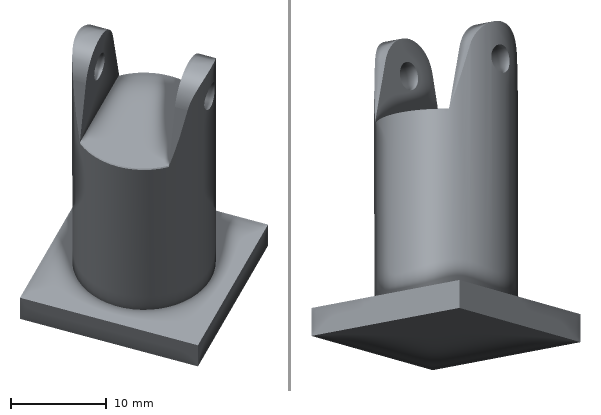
import cadquery as cq
import math

base_side = 20.0
base_thickness = 3.0
post_diameter = 15.0
total_height = 33.0
fork_gap = 10.0
ear_height = 10.0
ear_tip_radius = 4.0
pin_diameter = 3.0
rim_chamfer = 0.1

post_radius = post_diameter / 2
shoulder_z = total_height - ear_height
pin_z = total_height - ear_tip_radius
ear_half_width = math.sqrt(post_radius**2 - (fork_gap / 2) ** 2)


def post_blank():
    """Plain round post, taller than the ear tips so that they are cut from solid stock."""
    return cq.Workplane("XY").circle(post_radius).extrude(total_height + post_radius)


def fork_outline():
    """Prism along X: flat shoulders below a tapered ear, its flanks tangent to the round tip."""
    rise = pin_z - shoulder_z
    foot_distance = math.hypot(ear_half_width, rise)
    tangent_angle = math.acos(ear_tip_radius / foot_distance) - math.atan2(rise, ear_half_width)
    tangent_y = ear_tip_radius * math.cos(tangent_angle)
    tangent_z = pin_z + ear_tip_radius * math.sin(tangent_angle)
    tip_arc_angle = (tangent_angle + math.pi / 2) / 2
    arc_mid_y = ear_tip_radius * math.cos(tip_arc_angle)
    arc_mid_z = pin_z + ear_tip_radius * math.sin(tip_arc_angle)
    return (
        cq.Workplane("YZ")
        .moveTo(-base_side / 2, 0)
        .lineTo(base_side / 2, 0)
        .lineTo(base_side / 2, shoulder_z)
        .lineTo(ear_half_width, shoulder_z)
        .lineTo(tangent_y, tangent_z)
        .threePointArc((arc_mid_y, arc_mid_z), (0, total_height))
        .threePointArc((-arc_mid_y, arc_mid_z), (-tangent_y, tangent_z))
        .lineTo(-ear_half_width, shoulder_z)
        .lineTo(-base_side / 2, shoulder_z)
        .close()
        .extrude(base_side / 2, both=True)
    )


def gap_block(bottom_z):
    """Block as wide as the fork gap, reaching up past the ears."""
    return (
        cq.Workplane("XY")
        .workplane(offset=bottom_z)
        .rect(fork_gap, base_side)
        .extrude(total_height)
    )


def rim_chamfer_ring():
    """Material removed from the shoulder rim between the ears."""
    ring = (
        cq.Workplane("XZ")
        .moveTo(post_radius - rim_chamfer, shoulder_z)
        .lineTo(post_radius, shoulder_z)
        .lineTo(post_radius, shoulder_z - rim_chamfer)
        .close()
        .revolve(360, (0, 0, 0), (0, 1, 0))
    )
    return ring.intersect(gap_block(0))


def pin_hole():
    return (
        cq.Workplane("YZ")
        .center(0, pin_z)
        .circle(pin_diameter / 2)
        .extrude(base_side / 2, both=True)
    )


base = cq.Workplane("XY").rect(base_side, base_side).extrude(base_thickness)
fork = post_blank().intersect(fork_outline()).cut(gap_block(shoulder_z)).cut(pin_hole())
result = base.union(fork.cut(rim_chamfer_ring()))